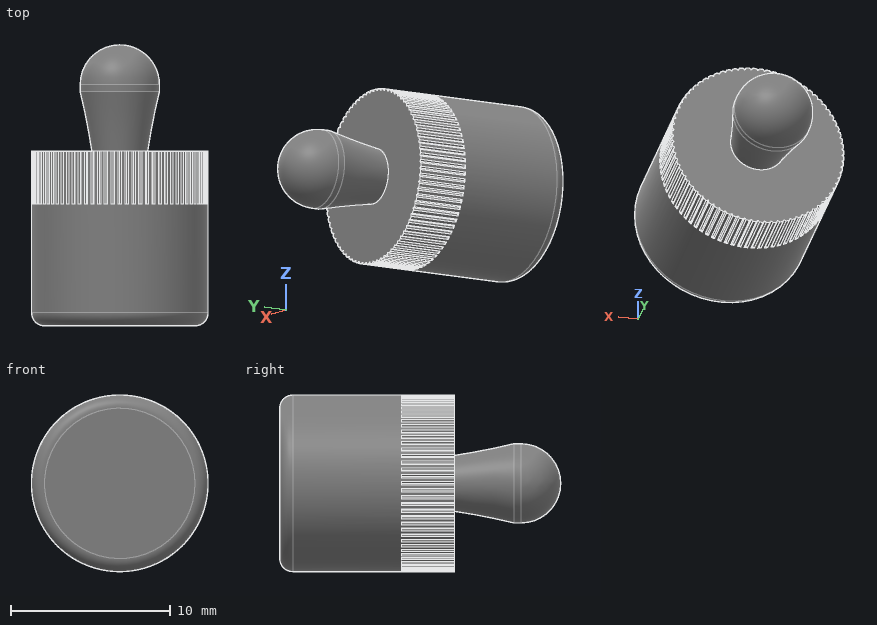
import cadquery as cq
import math


total_length = 17.66
housing_length = 10.98
housing_radius = 5.554
front_fillet_radius = 0.83

knurl_length = 3.32
groove_count = 80
groove_depth = 0.11

pin_radius = 2.499
pin_band_length = 0.45
pin_base_radius = 1.77
neck_waist_radius = 2.0
neck_waist_height = 1.38

knurl_start = housing_length - knurl_length
ball_centre = total_length - pin_radius
neck_top = ball_centre - pin_band_length
neck_waist = housing_length + neck_waist_height

groove_overshoot = 0.09
groove_root_radius = housing_radius - groove_depth
cutter_outer_radius = housing_radius + groove_overshoot
cutter_half_width = cutter_outer_radius - groove_root_radius


def make_blank():
    """Revolve the plain housing: a cylinder with a filleted front edge."""
    fillet_middle = front_fillet_radius * (1 - math.sqrt(0.5))
    return (
        cq.Workplane("XY")
        .lineTo(housing_radius - front_fillet_radius, 0)
        .threePointArc(
            (housing_radius - fillet_middle, fillet_middle),
            (housing_radius, front_fillet_radius),
        )
        .lineTo(housing_radius, housing_length)
        .lineTo(0, housing_length)
        .close()
        .revolve(360, (0, 0, 0), (0, 1, 0))
    )


def make_groove_cutters():
    """Return one triangular prism for each V groove of the knurl."""
    cutter = (
        cq.Workplane("XZ", origin=(0, knurl_start, 0))
        .polyline([
            (groove_root_radius, 0),
            (cutter_outer_radius, cutter_half_width),
            (cutter_outer_radius, -cutter_half_width),
        ])
        .close()
        .extrude(-knurl_length)
        .val()
    )
    pitch = 360 / groove_count
    return [cutter.rotate((0, 0, 0), (0, 1, 0), i * pitch) for i in range(groove_count)]


def make_housing():
    """Cylindrical housing with a straight knurl around its back end."""
    blank = make_blank().val()
    return cq.Workplane(obj=blank.cut(*make_groove_cutters()).Solids()[0])


def make_pin():
    """Round-headed pin standing on the back face, with a slightly hollow tapered neck."""
    ball_middle = pin_radius * math.sqrt(0.5)
    return (
        cq.Workplane("XY")
        .moveTo(0, housing_length)
        .lineTo(pin_base_radius, housing_length)
        .threePointArc((neck_waist_radius, neck_waist), (pin_radius, neck_top))
        .lineTo(pin_radius, ball_centre)
        .threePointArc((ball_middle, ball_centre + ball_middle), (0, total_length))
        .close()
        .revolve(360, (0, 0, 0), (0, 1, 0))
    )


housing = make_housing()
pin = make_pin()

result = cq.Compound.makeCompound([housing.val(), pin.val()])